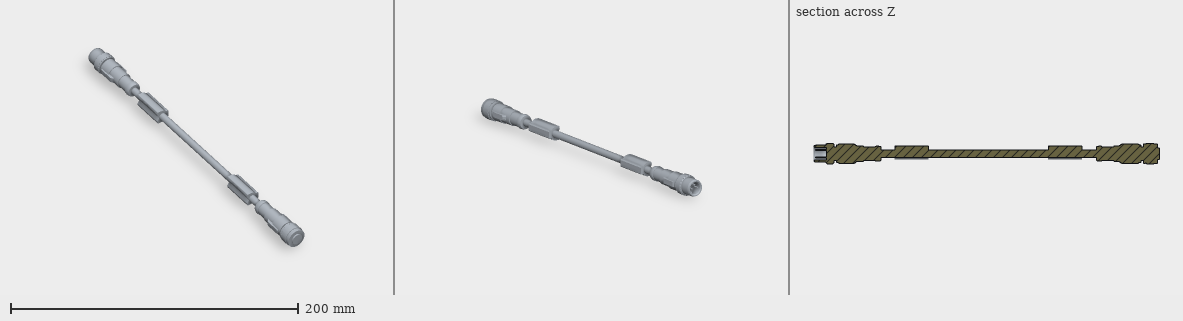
import cadquery as cq
import math


TOTAL_LENGTH = 240.8
PLUG_GRIP_X = 15.4
SOCKET_GRIP_X = 228.1
CABLE_RADIUS = 2.65

GRIP_LENGTH = 31.4
GRIP_FRONT_LENGTH = 9.0
GRIP_MIDDLE_END = 19.3
GRIP_RING_START = 27.4
GRIP_FRONT_RADIUS = 6.35
GRIP_MIDDLE_RADIUS = 5.6
GRIP_TAIL_RADIUS = 4.9
GRIP_RING_START_RADIUS = 5.3
GRIP_RING_CREST_X = 28.9
GRIP_RING_CREST_RADIUS = 5.45

PAD_REACH = 6.9
PAD_HEIGHT = 4.2
PAD_FACE_HEIGHT = 3.6
PAD_RISE = 1.7
PAD_LENGTH = 15.0
PAD_FACE_START = 2.2
PAD_FACE_LENGTH = 10.4
PAD_CORNER = 1.0

NUT_RADIUS = 7.4
NUT_CHAMFER = 0.7
NOTCH_COUNT = 20
NOTCH_WIDTH = 1.1
NOTCH_DEPTH = 0.6
NECK_RADIUS = 4.9

PLUG_NUT_START = 8.3
PLUG_NUT_END = 14.3
THREAD_RADIUS = 6.1
THREAD_LEAD_LENGTH = 1.3
THREAD_LEAD_RADIUS = 5.6
PLUG_BORE_RADIUS = 4.2
PLUG_BORE_DEPTH = 8.5
BORE_CHAMFER = 0.7
PIN_RADIUS = 0.5
PIN_CIRCLE_RADIUS = 2.5
PIN_RECESS = 1.0
PIN_ANGLES = (0, 90, 180)
KEY_ANGLE = -45
KEY_WIDTH = 0.9
KEY_HEIGHT = 0.7

SOCKET_NUT_START = 229.3
SOCKET_COLLAR_END = 230.8
SOCKET_BAND_END = 236.8
SOCKET_NUT_END = 239.7
SOCKET_COLLAR_RADIUS = 6.9
SOCKET_INSERT_RADIUS = 4.1

MARKER_STARTS = (56.4, 163.1)
MARKER_LENGTH = 23.7
MARKER_RADIUS = 5.05
MARKER_CENTRE_Y = -1.1
JAW_TIP_Y = -4.2
JAW_TIP_Z = 2.95
JAW_ROUND_START_Y = -3.4
JAW_ROUND_MIDDLE = (-3.95, 4.4)
JAW_ROOT_Y = -2.65
JAW_ROOT_Z = 0.35
PLATE_FRONT_Y = 3.3
PLATE_BACK_Y = 5.4
PLATE_HALF_HEIGHT = 2.9
PLATE_CHAMFER = 0.7


def revolve_profile(points):
    """Revolve (x, radius) points, closed along the X axis, about that axis."""
    closed = [(points[0][0], 0)] + points + [(points[-1][0], 0)]
    outline = cq.Workplane("XY").polyline(closed).close()
    return outline.revolve(360, (0, 0, 0), (1, 0, 0))


def rod(start, end, radius):
    return revolve_profile([(start, radius), (end, radius)])


def ring_of_notches(start, end):
    """Radial cutters spaced evenly around the rim of a nut."""
    outer_overlap = 1.0
    height = NOTCH_DEPTH + outer_overlap
    centre = ((start + end) / 2, 0, NUT_RADIUS - NOTCH_DEPTH + height / 2)
    cutter = cq.Workplane("XY").box(end - start, NOTCH_WIDTH, height).translate(centre)
    cutters = cq.Workplane("XY")
    for index in range(NOTCH_COUNT):
        angle = 360 * index / NOTCH_COUNT
        cutters = cutters.add(cutter.rotate((0, 0, 0), (1, 0, 0), angle))
    return cutters.combine(glue=True)


def pad_outline(y, start, end, height, corner):
    """Closed rectangle at the given y whose corners are cut at 45 degrees if corner > 0."""
    half = height / 2
    upper = [(start, half), (end, half)]
    if corner > 0:
        upper = [(start, half - corner), (start + corner, half), (end - corner, half), (end, half - corner)]
    lower = [(x, -z) for x, z in reversed(upper)]
    return cq.Wire.makePolygon([cq.Vector(x, y, z) for x, z in upper + lower], close=True)


def finger_pad(corner):
    """Pad on the -Y side of a grip: a drafted foot rising to a flat outer face."""
    face_end = PAD_FACE_START + PAD_FACE_LENGTH + corner
    foot = pad_outline(PAD_RISE - PAD_REACH, 0, PAD_LENGTH + corner, PAD_HEIGHT, corner)
    face = pad_outline(-PAD_REACH, PAD_FACE_START, face_end, PAD_FACE_HEIGHT, corner)
    return cq.Workplane(cq.Solid.makeLoft([foot, face], True))


def make_grip(pad_corner):
    """Grip with its nut end at x = 0 and its cable end at x = GRIP_LENGTH."""
    body = revolve_profile([
        (0, GRIP_FRONT_RADIUS),
        (GRIP_FRONT_LENGTH, GRIP_FRONT_RADIUS),
        (GRIP_FRONT_LENGTH, GRIP_MIDDLE_RADIUS),
        (GRIP_MIDDLE_END, GRIP_MIDDLE_RADIUS),
        (GRIP_MIDDLE_END, GRIP_TAIL_RADIUS),
        (GRIP_LENGTH, GRIP_TAIL_RADIUS),
    ])
    ring = (
        cq.Workplane("XY")
        .moveTo(GRIP_RING_START, 0)
        .lineTo(GRIP_RING_START, GRIP_RING_START_RADIUS)
        .threePointArc((GRIP_RING_CREST_X, GRIP_RING_CREST_RADIUS), (GRIP_LENGTH, GRIP_TAIL_RADIUS))
        .lineTo(GRIP_LENGTH, 0)
        .close()
        .revolve(360, (0, 0, 0), (1, 0, 0))
    )
    pad = finger_pad(pad_corner)
    return body.union(ring).union(pad).union(pad.mirror("XZ"))


def make_plug():
    """Male plug: threaded sleeve with three pins and a key, nut and grip."""
    shell = revolve_profile([
        (0, THREAD_LEAD_RADIUS),
        (THREAD_LEAD_LENGTH, THREAD_RADIUS),
        (PLUG_NUT_START, THREAD_RADIUS),
        (PLUG_NUT_START, NUT_RADIUS - NUT_CHAMFER),
        (PLUG_NUT_START + NUT_CHAMFER, NUT_RADIUS),
        (PLUG_NUT_END - NUT_CHAMFER, NUT_RADIUS),
        (PLUG_NUT_END, NUT_RADIUS - NUT_CHAMFER),
        (PLUG_NUT_END, NECK_RADIUS),
        (PLUG_GRIP_X, NECK_RADIUS),
    ])
    for start in (PLUG_NUT_START, PLUG_NUT_END - NUT_CHAMFER):
        shell = shell.cut(ring_of_notches(start, start + NUT_CHAMFER))
    shell = shell.cut(revolve_profile([
        (0, PLUG_BORE_RADIUS + BORE_CHAMFER),
        (BORE_CHAMFER, PLUG_BORE_RADIUS),
        (PLUG_BORE_DEPTH, PLUG_BORE_RADIUS),
    ]))
    for angle in PIN_ANGLES:
        y = PIN_CIRCLE_RADIUS * math.cos(math.radians(angle))
        z = PIN_CIRCLE_RADIUS * math.sin(math.radians(angle))
        shell = shell.union(rod(PIN_RECESS, PLUG_GRIP_X, PIN_RADIUS).translate((0, y, z)))
    key_length = PLUG_BORE_DEPTH - PIN_RECESS
    key_centre = (PIN_RECESS + key_length / 2, PLUG_BORE_RADIUS, 0)
    key = cq.Workplane("XY").box(key_length, 2 * KEY_HEIGHT, KEY_WIDTH).translate(key_centre)
    shell = shell.union(key.rotate((0, 0, 0), (1, 0, 0), KEY_ANGLE))
    return shell.union(make_grip(0).translate((PLUG_GRIP_X, 0, 0)))


def make_socket():
    """Female socket: stepped nut around a plain insert, and a grip facing the other way."""
    shell = revolve_profile([
        (SOCKET_GRIP_X, NECK_RADIUS),
        (SOCKET_NUT_START, NECK_RADIUS),
        (SOCKET_NUT_START, SOCKET_COLLAR_RADIUS),
        (SOCKET_COLLAR_END, SOCKET_COLLAR_RADIUS),
        (SOCKET_COLLAR_END, NUT_RADIUS),
        (SOCKET_BAND_END, NUT_RADIUS),
        (SOCKET_BAND_END, SOCKET_COLLAR_RADIUS),
        (SOCKET_NUT_END, SOCKET_COLLAR_RADIUS),
        (SOCKET_NUT_END, SOCKET_INSERT_RADIUS),
        (TOTAL_LENGTH, SOCKET_INSERT_RADIUS),
    ])
    shell = shell.cut(ring_of_notches(SOCKET_COLLAR_END, SOCKET_COLLAR_END + NUT_CHAMFER))
    grip = make_grip(PAD_CORNER).mirror("YZ").translate((SOCKET_GRIP_X, 0, 0))
    return shell.union(grip)


def make_marker(start):
    """Marker sleeve: round-backed clip with a flared V mouth on -Y and a label plate on +Y."""
    plane = cq.Workplane("YZ", origin=(start, 0, 0))
    flare = (JAW_TIP_Y - JAW_ROOT_Y, JAW_TIP_Z - JAW_ROOT_Z)
    jaw_points = [
        (JAW_ROOT_Y, JAW_ROOT_Z),
        (JAW_ROOT_Y + flare[0] / 2, JAW_ROOT_Z + flare[1] / 2),
        (JAW_TIP_Y, JAW_TIP_Z),
        JAW_ROUND_MIDDLE,
        (JAW_ROUND_START_Y, MARKER_RADIUS),
    ]
    lower_jaw_points = [(y, -z) for y, z in reversed(jaw_points)]
    clip = (
        plane.moveTo(*jaw_points[0])
        .spline(jaw_points[1:], tangents=[flare, (1, 0)], includeCurrent=True)
        .lineTo(MARKER_CENTRE_Y, MARKER_RADIUS)
        .threePointArc((MARKER_CENTRE_Y + MARKER_RADIUS, 0), (MARKER_CENTRE_Y, -MARKER_RADIUS))
        .lineTo(*lower_jaw_points[0])
        .spline(lower_jaw_points[1:], tangents=[(-1, 0), (-flare[0], flare[1])], includeCurrent=True)
        .close()
        .extrude(MARKER_LENGTH)
    )
    plate_depth = PLATE_BACK_Y - PLATE_FRONT_Y
    plate = (
        plane.center(PLATE_FRONT_Y + plate_depth / 2, 0)
        .rect(plate_depth, 2 * PLATE_HALF_HEIGHT)
        .extrude(MARKER_LENGTH)
        .edges("|X and >Y")
        .chamfer(PLATE_CHAMFER)
    )
    return clip.union(plate)


cable_start = PLUG_GRIP_X + GRIP_LENGTH / 2
cable_end = SOCKET_GRIP_X - GRIP_LENGTH / 2
result = rod(cable_start, cable_end, CABLE_RADIUS).union(make_plug()).union(make_socket())
for marker_start in MARKER_STARTS:
    result = result.union(make_marker(marker_start))